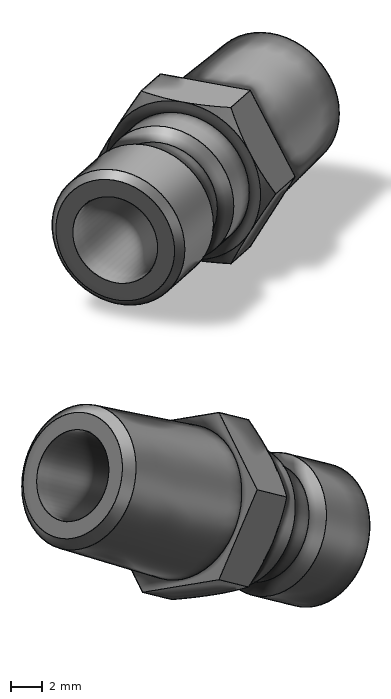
import cadquery as cq
import math

total_length = 25.0
plug_nose_end = 4.92
groove_shoulder = 8.1
hex_start = 10.5
hex_end = 14.0

plug_chamfer = 0.5
thread_chamfer = 0.62
groove_depth = 0.8

bore_radius = 3.0
plug_radius = 4.7
thread_base_radius = 5.08
thread_slope = 1 / 32

hex_across_flats = 11.0
hex_across_corners = hex_across_flats / math.cos(math.radians(30))
hex_chamfer_angle = 30.0


def thread_radius(y):
    """Radius of the tapered thread at a distance y from the plug end."""
    return thread_base_radius - (y - hex_end) * thread_slope


def revolve_about_y(points):
    """Solid of revolution about Y from (radius, y) points."""
    return cq.Workplane("XY").polyline(points).close().revolve(360, (0, 0, 0), (0, 1, 0))


def make_turned_body():
    """Grooved plug at the -Y end and tapered thread at the +Y end."""
    groove_radius = plug_radius - groove_depth
    thread_chamfer_start = total_length - thread_chamfer
    thread_end_radius = thread_radius(thread_chamfer_start)
    return revolve_about_y([
        (0, 0),
        (plug_radius - plug_chamfer, 0),
        (plug_radius, plug_chamfer),
        (plug_radius, plug_nose_end),
        (groove_radius, plug_nose_end + groove_depth),
        (groove_radius, groove_shoulder - groove_depth),
        (plug_radius, groove_shoulder),
        (plug_radius, hex_end),
        (thread_base_radius, hex_end),
        (thread_end_radius, thread_chamfer_start),
        (thread_end_radius - thread_chamfer, total_length),
        (0, total_length),
    ])


def make_hexagon():
    """Hexagon with corners on X, its corners chamfered on the plug side."""
    prism = (
        cq.Workplane("XZ", origin=(0, hex_start, 0))
        .polygon(6, hex_across_corners)
        .extrude(hex_start - hex_end)
    )
    flat_radius = hex_across_flats / 2
    corner_radius = hex_across_corners / 2
    chamfer_depth = (corner_radius - flat_radius) * math.tan(math.radians(hex_chamfer_angle))
    envelope = revolve_about_y([
        (0, hex_start),
        (flat_radius, hex_start),
        (corner_radius, hex_start + chamfer_depth),
        (corner_radius, hex_end),
        (0, hex_end),
    ])
    return prism.intersect(envelope)


def make_bore():
    """Straight bore through the full length."""
    return cq.Workplane("XZ").circle(bore_radius).extrude(-total_length)


result = make_turned_body().union(make_hexagon()).cut(make_bore())